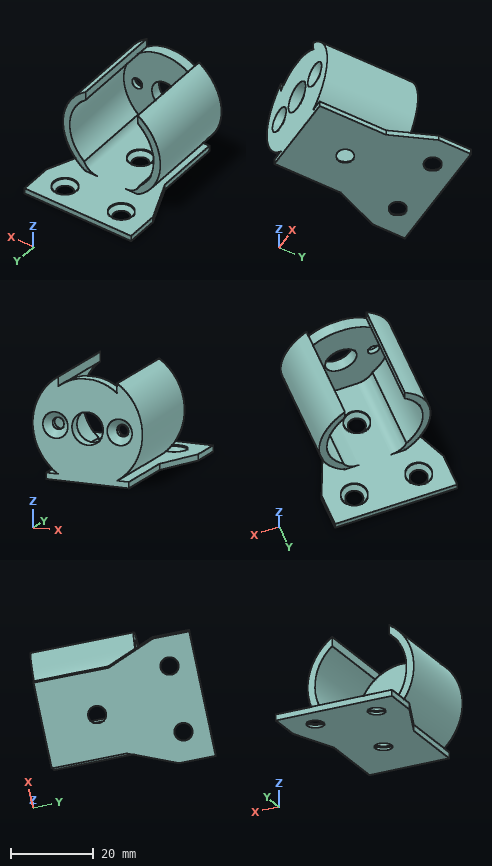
import cadquery as cq

plate_length = 39.5
plate_thickness = 1.6
tab_width = 31.75
tab_length = 9.05
taper_end = 20.95
narrow_width = 21.8

axis_height = 13.8
outer_radius = 14.5
bore_radius = 12.5
cup_length = 25.45
end_wall = 3.0
slot_width = 15.55
end_wall_top = 26.2

floor_width = 8.45
floor_corner_radius = 4.23

shaft_diameter = 8.2
screw_diameter = 3.0
head_diameter = 6.6
screw_offset = 8.5
mount_diameter = 4.35
mount_recess_depth = 0.4
mount_offset = 8.37
mount_from_back = 6.4
floor_hole_y = 13.5


def cylinder_y(radius, start, length):
    """Cylinder around the cup axis, running from start toward +Y."""
    return (
        cq.Workplane("XZ", origin=(0, start, axis_height))
        .circle(radius)
        .extrude(-length)
    )


def box_above(width, start, length, bottom):
    """Box centred on X, rising from the given bottom height."""
    height = axis_height + outer_radius
    base = cq.Workplane("XY", origin=(0, start, bottom))
    return base.box(width, length, height, centered=(True, False, False))


def base_plate():
    right_side = [
        (narrow_width / 2, 0),
        (narrow_width / 2, plate_length - taper_end),
        (tab_width / 2, plate_length - tab_length),
        (tab_width / 2, plate_length),
    ]
    left_side = [(-x, y) for x, y in reversed(right_side)]
    return cq.Workplane("XY").polyline(right_side + left_side).close().extrude(plate_thickness)


def cup():
    bore_length = cup_length - end_wall
    trough_width = floor_width + 2 * floor_corner_radius
    trough = (
        cq.Workplane("XY", origin=(0, end_wall, plate_thickness))
        .box(trough_width, bore_length, axis_height - plate_thickness, centered=(True, False, False))
        .edges("|Y and <Z")
        .fillet(floor_corner_radius)
    )
    bore = cylinder_y(bore_radius, end_wall, bore_length)
    bore = bore.intersect(box_above(2 * bore_radius, end_wall, bore_length, plate_thickness))
    slot = box_above(slot_width, 0, cup_length, axis_height)
    crown = cylinder_y(bore_radius, 0, end_wall)
    above_crown = box_above(slot_width, 0, end_wall, end_wall_top)
    body = cylinder_y(outer_radius, 0, cup_length).cut(bore).cut(trough)
    body = body.cut(slot.cut(crown)).cut(above_crown)
    return body.intersect(box_above(2 * outer_radius, 0, cup_length, 0))


def countersunk_hole(diameter, recess_depth, seat_end, depth):
    """Hole sunk along -Z from the origin: head recess, conical seat, then the bare hole."""
    head_radius = head_diameter / 2
    hole_radius = diameter / 2
    profile = cq.Workplane("XZ").moveTo(0, 0).lineTo(head_radius, 0)
    if recess_depth > 0:
        profile = profile.lineTo(head_radius, -recess_depth)
    profile = profile.lineTo(hole_radius, -seat_end)
    if depth > seat_end:
        profile = profile.lineTo(hole_radius, -depth)
    profile = profile.lineTo(0, -depth)
    return profile.close().revolve(360, (0, 0), (0, 1))


def end_wall_holes():
    face = cq.Workplane("XZ", origin=(0, 0, axis_height))
    holes = face.circle(shaft_diameter / 2).extrude(-end_wall)
    seat_depth = (head_diameter - screw_diameter) / 2
    screw = countersunk_hole(screw_diameter, 0, seat_depth, end_wall)
    screw = screw.rotate((0, 0, 0), (1, 0, 0), 90)
    for x in (-screw_offset, screw_offset):
        holes = holes.union(screw.translate((x, 0, axis_height)))
    return holes


def mounting_hole(x, y):
    """Recessed hole whose conical seat narrows all the way to the underside of the plate."""
    hole = countersunk_hole(mount_diameter, mount_recess_depth, plate_thickness, plate_thickness)
    return hole.translate((x, y, plate_thickness))


tab_hole_y = plate_length - mount_from_back
result = base_plate().union(cup()).cut(end_wall_holes())
for tab_hole_x in (-mount_offset, mount_offset):
    result = result.cut(mounting_hole(tab_hole_x, tab_hole_y))
result = result.cut(mounting_hole(0, floor_hole_y))